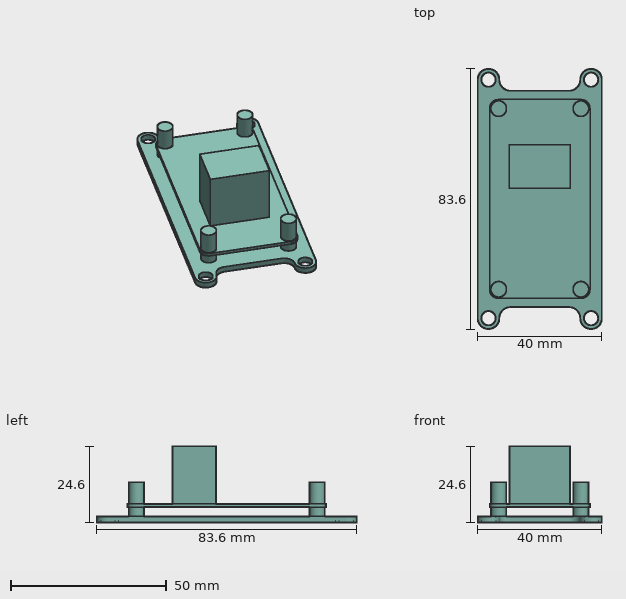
import cadquery as cq

overall_length = 83.6
plate_width = 40.0
plate_thickness = 2.0
ear_radius = 3.5
ear_hole_diameter = 4.5
ear_x = plate_width / 2 - ear_radius
ear_y = overall_length / 2 - ear_radius
plate_length = 2 * (ear_y - ear_radius)

post_diameter = 5.0
post_spacing_x = 26.4
post_spacing_y = 58.0
board_corner_radius = 2.9
board_width = post_spacing_x + 2 * board_corner_radius
board_length = post_spacing_y + 2 * board_corner_radius
board_thickness = 1.0

lower_post_height = 3.0
upper_post_height = 7.0
board_bottom = plate_thickness + lower_post_height
board_top = board_bottom + board_thickness

overall_height = 24.6
block_width = 19.6
block_length = 14.05
block_y = 10.45
block_height = overall_height - board_top


def make_ear(side_x, side_y):
    """Rounded ear at one plate corner, blended into the end edge by a quarter arc."""
    outer_x = side_x * plate_width / 2
    inner_x = side_x * (ear_x - ear_radius)
    blend_x = side_x * (ear_x - 2 * ear_radius)
    diagonal = ear_radius * 0.5 ** 0.5
    center_y = side_y * ear_y
    edge_y = side_y * plate_length / 2
    return (
        cq.Workplane("XY")
        .moveTo(outer_x, edge_y)
        .lineTo(outer_x, center_y)
        .threePointArc((side_x * ear_x, side_y * overall_length / 2), (inner_x, center_y))
        .threePointArc((blend_x + side_x * diagonal, center_y - side_y * diagonal), (blend_x, edge_y))
        .close()
        .extrude(plate_thickness)
    )


def make_base_plate():
    """Rectangular plate with a drilled ear at each corner."""
    plate = cq.Workplane("XY").box(plate_width, plate_length, plate_thickness, centered=(True, True, False))
    for side_x in (-1, 1):
        for side_y in (-1, 1):
            plate = plate.union(make_ear(side_x, side_y))
    holes = (
        cq.Workplane("XY")
        .rect(2 * ear_x, 2 * ear_y, forConstruction=True)
        .vertices()
        .circle(ear_hole_diameter / 2)
        .extrude(plate_thickness)
    )
    return plate.cut(holes)


def make_board():
    """Circuit board carrying a tall rectangular block."""
    board = (
        cq.Workplane("XY", origin=(0, 0, board_bottom))
        .box(board_width, board_length, board_thickness, centered=(True, True, False))
        .edges("|Z")
        .fillet(board_corner_radius)
    )
    block = (
        cq.Workplane("XY", origin=(0, block_y, board_top))
        .box(block_width, block_length, block_height, centered=(True, True, False))
    )
    return board.union(block)


def make_post(x, y, bottom, height):
    """Plain cylindrical post."""
    return cq.Workplane("XY", origin=(x, y, bottom)).circle(post_diameter / 2).extrude(height)


base_plate = make_base_plate()
board = make_board()

lower_posts = []
upper_posts = []
for post_x in (-post_spacing_x / 2, post_spacing_x / 2):
    for post_y in (-post_spacing_y / 2, post_spacing_y / 2):
        lower_posts.append(make_post(post_x, post_y, plate_thickness, lower_post_height).val())
        upper_posts.append(make_post(post_x, post_y, board_top, upper_post_height).val())

result = cq.Compound.makeCompound([base_plate.val(), board.val(), *lower_posts, *upper_posts])